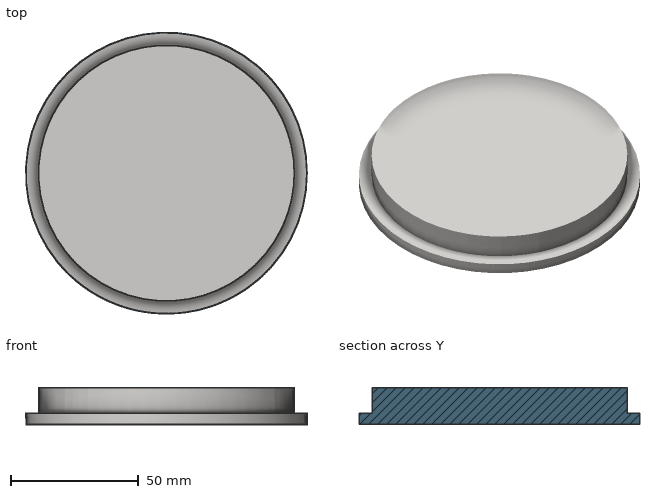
import cadquery as cq
import math

flange_diameter = 110.0
flange_thickness = 4.5
plug_diameter = 100.0
plug_height = 10.0
flange_radius = flange_diameter / 2
plug_radius = plug_diameter / 2
overall_height = flange_thickness + plug_height

wedge_station_angles = (45.0, 225.0)
plain_station_angles = (155.0, 335.0)

block_width = 13.0
block_inner_radius = 42.0
block_length = plug_radius - block_inner_radius

screw_diameter = 3.4
screw_axis_z = flange_thickness + plug_height / 2
nut_width = 5.9
nut_thickness = 2.8
nut_center_radius = 45.7

wedge_rim_width = 10.0
wedge_depth = 1.0


def make_flange():
    return cq.Workplane("XY").circle(flange_radius).extrude(flange_thickness)


def make_plug():
    return cq.Workplane("XY", origin=(0, 0, flange_thickness)).circle(plug_radius).extrude(plug_height)


def make_block():
    """Block lying along +X, with its outer end following the plug wall."""
    box = (
        cq.Workplane("XY", origin=(block_inner_radius + block_length / 2, 0, flange_thickness))
        .rect(block_length, block_width)
        .extrude(plug_height)
    )
    return box.intersect(make_plug())


def make_screw():
    """Radial screw shank from the block's inner end to the plug wall."""
    shank = (
        cq.Workplane("YZ", origin=(block_inner_radius, 0, screw_axis_z))
        .circle(screw_diameter / 2)
        .extrude(block_length)
    )
    return shank.intersect(make_plug())


def make_nut():
    """Upright nut filler: round below the screw axis, straight up to the plug top."""
    half_width = nut_width / 2
    height_above_axis = overall_height - screw_axis_z
    return (
        cq.Workplane("YZ", origin=(nut_center_radius - nut_thickness / 2, 0, screw_axis_z))
        .moveTo(-half_width, height_above_axis)
        .lineTo(-half_width, 0)
        .threePointArc((0, -half_width), (half_width, 0))
        .lineTo(half_width, height_above_axis)
        .close()
        .extrude(nut_thickness)
    )


def make_wedge():
    """Wedge narrowing from the block to the rim, level with the flange top."""
    ring = (
        cq.Workplane("XZ")
        .moveTo(block_inner_radius, flange_thickness)
        .lineTo(flange_radius, flange_thickness)
        .lineTo(block_inner_radius, flange_thickness - wedge_depth)
        .close()
        .revolve(360, (0, 0, 0), (0, 1, 0))
    )
    block_corner_x = math.sqrt(plug_radius**2 - (block_width / 2) ** 2)
    rim_corner_x = math.sqrt(flange_radius**2 - (wedge_rim_width / 2) ** 2)
    side_slope = (wedge_rim_width - block_width) / 2 / (rim_corner_x - block_corner_x)
    end_half_width = wedge_rim_width / 2 + side_slope * (flange_radius - rim_corner_x)
    outline = (
        cq.Workplane("XY")
        .moveTo(block_corner_x, -block_width / 2)
        .lineTo(flange_radius, -end_half_width)
        .lineTo(flange_radius, end_half_width)
        .lineTo(block_corner_x, block_width / 2)
        .close()
        .extrude(flange_thickness)
    )
    return ring.intersect(outline)


def add_flush(body, filler, angle):
    """Fuse a flush filler at an angle, keeping its outline on the surrounding faces."""
    return body.union(filler.rotate((0, 0, 0), (0, 0, 1), angle), clean=False)


body = make_flange().union(make_plug())

for angle in wedge_station_angles + plain_station_angles:
    for filler in (make_block(), make_screw(), make_nut()):
        body = add_flush(body, filler, angle)

for angle in wedge_station_angles:
    body = add_flush(body, make_wedge(), angle)

result = body.solids()